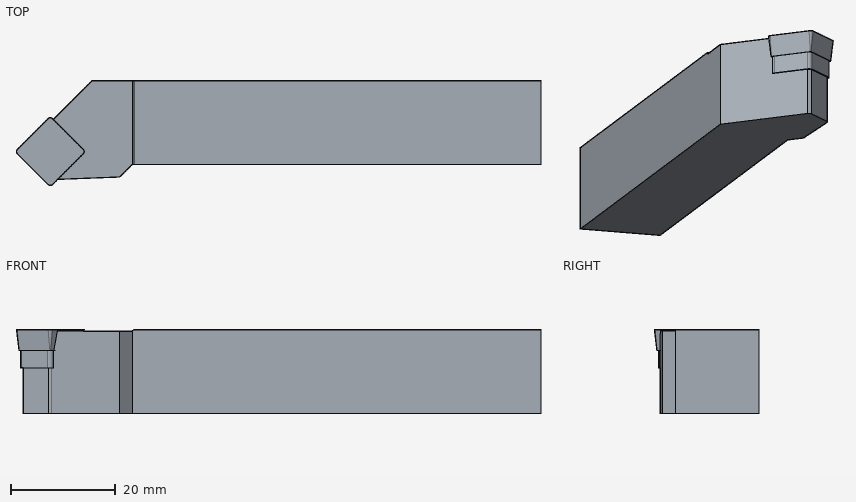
import cadquery as cq
import math

TOTAL_LENGTH = 100.0
SHANK_SIZE = 16.0
BACK_Y = 20.0
SHANK_START_X = 22.1
SHANK_FRONT_Y = BACK_Y - SHANK_SIZE

HEAD_DROP = 0.3
STEP_RUN = 0.3
HEAD_TOP_Z = SHANK_SIZE - HEAD_DROP
NOSE_X = 1.3
NOSE_WIDTH = 0.8
FRONT_CORNER_X = 6.1
FRONT_EDGE_X = 6.7
FRONT_EDGE_Y = 1.1
HEEL_X = 19.7
HEEL_Y = 1.6

INSERT_SIDE = 9.5
INSERT_RADIUS = 0.6
INSERT_THICKNESS = 4.0
RELIEF_ANGLE = 7.0
INSERT_CENTER = INSERT_SIDE / math.sqrt(2) - INSERT_RADIUS * (math.sqrt(2) - 1)
INSERT_BOTTOM_Z = SHANK_SIZE - INSERT_THICKNESS

SEAT_SIDE = 8.4
SEAT_RADIUS = 0.7
SEAT_THICKNESS = 3.3


def rounded_diamond(side, radius):
    """Rounded square turned by 45 degrees about the insert centre."""
    return (
        cq.Sketch()
        .rect(side, side)
        .vertices()
        .fillet(radius)
        .moved(cq.Location(cq.Vector(INSERT_CENTER, INSERT_CENTER, 0), cq.Vector(0, 0, 1), 45))
    )


def make_insert():
    """Insert whose flanks lean inwards towards the bottom."""
    return (
        cq.Workplane("XY", origin=(0, 0, SHANK_SIZE))
        .placeSketch(rounded_diamond(INSERT_SIDE, INSERT_RADIUS))
        .extrude(-INSERT_THICKNESS, taper=RELIEF_ANGLE)
    )


def make_shank():
    """Square bar with a short slope down to the head along its upper edge."""
    return (
        cq.Workplane("XZ", origin=(0, BACK_Y, 0))
        .moveTo(SHANK_START_X, 0)
        .lineTo(TOTAL_LENGTH, 0)
        .lineTo(TOTAL_LENGTH, SHANK_SIZE)
        .lineTo(SHANK_START_X + STEP_RUN, SHANK_SIZE)
        .lineTo(SHANK_START_X, HEAD_TOP_Z)
        .close()
        .extrude(SHANK_SIZE)
    )


def make_head():
    """Angled head; both flanks leave the nose at 45 degrees."""
    nose_back_y = INSERT_CENTER + NOSE_WIDTH / 2
    nose_front_y = INSERT_CENTER - NOSE_WIDTH / 2
    outline = [
        (SHANK_START_X, BACK_Y),
        (NOSE_X + BACK_Y - nose_back_y, BACK_Y),
        (NOSE_X, nose_back_y),
        (NOSE_X, nose_front_y),
        (FRONT_CORNER_X, nose_front_y - (FRONT_CORNER_X - NOSE_X)),
        (FRONT_EDGE_X, FRONT_EDGE_Y),
        (HEEL_X, HEEL_Y),
        (SHANK_START_X, SHANK_FRONT_Y),
    ]
    return cq.Workplane("XY").polyline(outline).close().extrude(HEAD_TOP_Z)


def make_seat():
    """Straight-sided block that carries the insert."""
    return (
        cq.Workplane("XY", origin=(0, 0, INSERT_BOTTOM_Z))
        .placeSketch(rounded_diamond(SEAT_SIDE, SEAT_RADIUS))
        .extrude(-SEAT_THICKNESS)
    )


insert = make_insert()
holder = make_shank().union(make_head()).union(make_seat()).cut(insert)

result = cq.Compound.makeCompound([holder.val(), insert.val()])